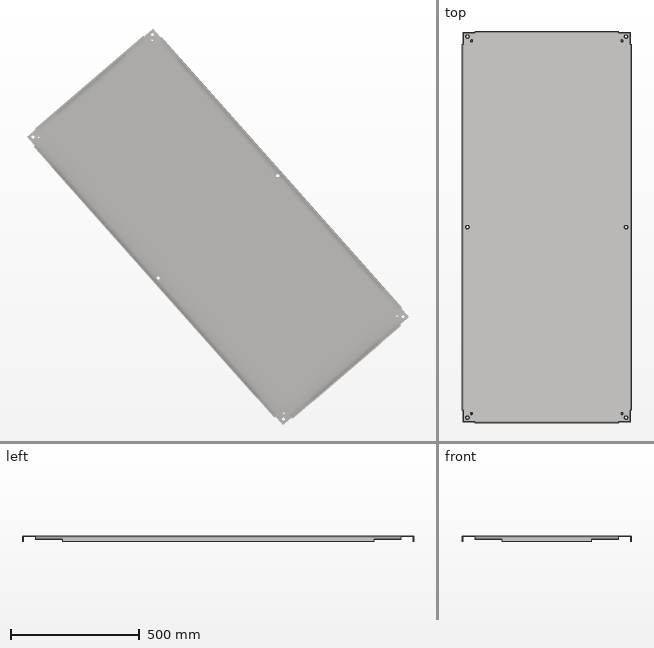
import cadquery as cq

width = 659.0
length = 1522.0
height = 23.0

thickness = 3.5
bend_radius = 4.7
inner_radius = bend_radius - thickness

lip_depth = 14.0
lip_setback = 50.0
flange_setback = 155.0

mount_diameter = 12.6
mount_spacing_x = 617.0
mount_spacing_y = 1481.0
pilot_diameter = 7.2
pilot_spacing_x = 585.0
pilot_spacing_y = 1450.0


def folded_strip(reach, depth, run):
    """Bend and flange at +X: reach is the outer face's X, depth its drop, run its length in Y."""
    fold_start = reach - bend_radius
    fold_center_z = -bend_radius
    inner_face = reach - thickness
    return (
        cq.Workplane("XZ")
        .moveTo(fold_start, 0)
        .radiusArc((reach, fold_center_z), bend_radius)
        .lineTo(reach, -depth)
        .lineTo(inner_face, -depth)
        .lineTo(inner_face, fold_center_z)
        .radiusArc((fold_start, -thickness), -inner_radius)
        .close()
        .extrude(run / 2, both=True)
    )


def stepped_flange(reach, side_length):
    """Flange at +X that is shallow near its ends and full height in the middle."""
    shallow = folded_strip(reach, lip_depth, side_length - 2 * lip_setback)
    full = folded_strip(reach, height, side_length - 2 * flange_setback)
    return shallow.union(full)


panel = cq.Workplane("XY").box(
    width - 2 * bend_radius,
    length - 2 * bend_radius,
    thickness,
    centered=(True, True, False),
).translate((0, 0, -thickness))

side_flange = stepped_flange(width / 2, length)
end_flange = stepped_flange(length / 2, width)
for flange, angle in ((side_flange, 0), (end_flange, 90), (side_flange, 180), (end_flange, 270)):
    panel = panel.union(flange.rotate((0, 0, 0), (0, 0, 1), angle))

mount_x = mount_spacing_x / 2
mount_y = mount_spacing_y / 2
mount_points = [(x, y) for x in (-mount_x, mount_x) for y in (-mount_y, 0, mount_y)]

pilot_x = pilot_spacing_x / 2
pilot_y = pilot_spacing_y / 2
pilot_points = [(x, y) for x in (-pilot_x, pilot_x) for y in (-pilot_y, pilot_y)]


def drill(points, diameter):
    """Cutters that pass through the sheet at the given points."""
    return cq.Workplane("XY").pushPoints(points).circle(diameter / 2).extrude(-thickness)


result = panel.cut(drill(mount_points, mount_diameter)).cut(drill(pilot_points, pilot_diameter))